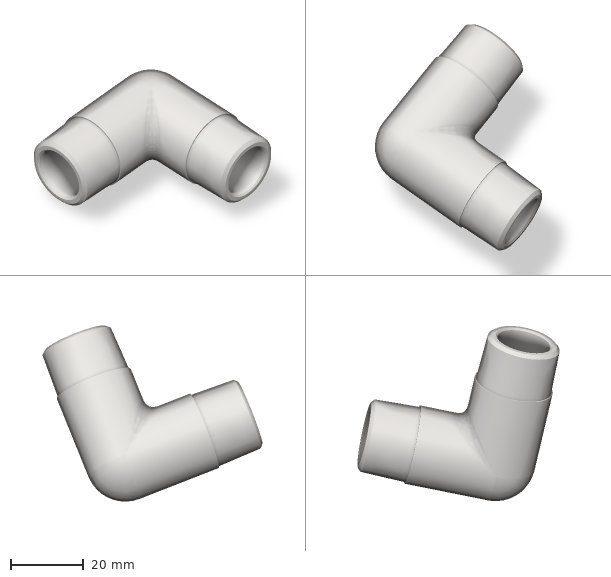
import cadquery as cq

overall_length = 48.0
body_diameter = 22.0
bore_diameter = 15.0
shoulder_distance = 23.45
spigot_root_diameter = 21.1
spigot_tip_diameter = 20.35
end_face_diameter = 18.35
end_chamfer_length = 0.9
bore_chamfer = 0.5
inner_corner_radius = 2.9

body_radius = body_diameter / 2
bore_radius = bore_diameter / 2
arm_length = overall_length - body_radius

arm_directions = [cq.Vector(1, 0, 0), cq.Vector(0, -1, 0)]
ORIGIN = cq.Vector(0, 0, 0)


def elbow(radius, length):
    """Two equal cylinders meeting at right angles, with a ball outside the corner."""
    shape = cq.Workplane("XY").sphere(radius)
    for direction in arm_directions:
        shape = shape.union(cq.Workplane(cq.Solid.makeCylinder(radius, length, ORIGIN, direction)))
    return shape


def rounded_body():
    """Plain elbow with the sharp inner corner between its arms rounded."""
    body = elbow(body_radius, shoulder_distance)
    corner = cq.selectors.BoxSelector(
        (0.5, -body_radius - 0.5, -body_radius - 0.5),
        (body_radius + 0.5, -0.5, body_radius + 0.5),
    )
    return body.edges(corner).fillet(inner_corner_radius)


def spigot(direction):
    """Slightly tapered end section with a chamfered tip."""
    taper_length = arm_length - shoulder_distance - end_chamfer_length
    taper = cq.Solid.makeCone(
        spigot_root_diameter / 2, spigot_tip_diameter / 2, taper_length,
        direction * shoulder_distance, direction,
    )
    tip = cq.Solid.makeCone(
        spigot_tip_diameter / 2, end_face_diameter / 2, end_chamfer_length,
        direction * (arm_length - end_chamfer_length), direction,
    )
    return cq.Workplane(taper).union(cq.Workplane(tip))


def bore_mouth(direction):
    """Cutter for the chamfer at the open end of a bore."""
    return cq.Workplane(cq.Solid.makeCone(
        bore_radius, bore_radius + bore_chamfer, bore_chamfer,
        direction * (arm_length - bore_chamfer), direction,
    ))


result = rounded_body()
for arm_direction in arm_directions:
    result = result.union(spigot(arm_direction))
result = result.cut(elbow(bore_radius, arm_length))
for arm_direction in arm_directions:
    result = result.cut(bore_mouth(arm_direction))